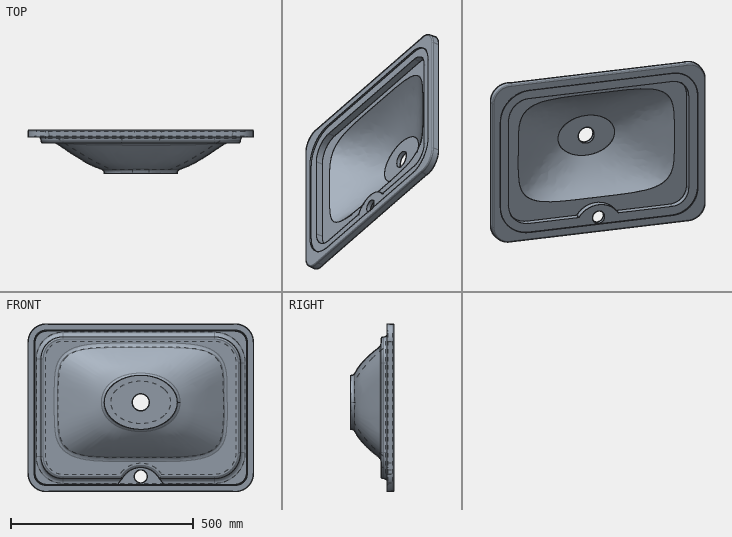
import cadquery as cq
import math

total_depth = 120.0
wall = 12.0
selection_margin = 1.0

rim_depth = 20.0
rim_width = 617.32
rim_height = 459.32
rim_draft = 0.8
corner_radius = 50.0
corner_bulge = 1.0
front_edge_radius = 3.0

recess_width = 584.0
recess_height = 425.0
recess_corner_radius = 33.0
recess_depth = 3.5
recess_wall_slope = 3.0
recess_floor = rim_depth - recess_depth

deck_depth = 36.0
deck_width = 546.0
deck_height = 388.0
deck_left_radius = 60.0
deck_right_radius = 71.0
deck_edge_radius = 6.0
cove_radius = 13.0

tap_z = -188.0
tap_hole_diameter = 35.0
scoop_radius = 57.0
scoop_z = -220.5
scoop_flare = math.radians(37)

bowl_z = 15.0
ellipse_exponent = 2.0
bowl_sections = [
    (deck_depth, 232.0, 154.5, 4.8),
    (62.0, 193.5, 134.0, 4.0),
    (91.0, 147.0, 105.0, 3.0),
    (112.0, 92.0, 70.0, ellipse_exponent),
]
section_points = 48
bowl_blend_radius = 16.0
foot_half_width = 100.0
foot_half_height = 74.0
foot_blend_radius = 11.0

tray_depth = recess_floor - wall
pocket_floor = deck_depth - wall
bowl_wall_depth = 16.0
drain_diameter = 46.0
floor_half_width = 82.0
floor_half_height = 58.0


def plane_at(depth):
    """Plane at the given depth whose local axes are X and Z, with its normal towards -Y."""
    return cq.Workplane("XZ", origin=(0, -depth, 0))


def rim_outline(depth, draft):
    """Closed rim wire: straight sides joined by corner arcs that overrun the top and bottom."""
    radius = corner_radius - draft
    center_x = rim_width / 2 - corner_radius
    center_z = rim_height / 2 - corner_radius
    flat_z = rim_height / 2 - corner_bulge
    side_x = center_x + radius
    end_x = center_x - math.sqrt(radius**2 - (flat_z - center_z) ** 2)
    middle_x = center_x + radius * math.cos(math.pi / 4)
    middle_z = center_z + radius * math.sin(math.pi / 4)
    return (
        plane_at(depth)
        .moveTo(side_x, -center_z)
        .lineTo(side_x, center_z)
        .threePointArc((middle_x, middle_z), (end_x, flat_z))
        .lineTo(-end_x, flat_z)
        .threePointArc((-middle_x, middle_z), (-side_x, center_z))
        .lineTo(-side_x, -center_z)
        .threePointArc((-middle_x, -middle_z), (-end_x, -flat_z))
        .lineTo(end_x, -flat_z)
        .threePointArc((middle_x, -middle_z), (side_x, -center_z))
        .close()
        .val()
    )


def make_rim():
    """Rim plate with its front edge rounded."""
    front = rim_outline(0, rim_draft)
    back = rim_outline(rim_depth, 0)
    rim = cq.Workplane(cq.Solid.makeLoft([front, back], True))
    return rim.faces(">Y").edges().fillet(front_edge_radius)


def make_recess():
    """Shallow recess in the back of the rim, with sloping walls."""
    slope_angle = math.degrees(math.atan2(recess_wall_slope, recess_depth))
    opening = cq.Sketch().rect(recess_width, recess_height).vertices().fillet(recess_corner_radius)
    return plane_at(rim_depth).placeSketch(opening).extrude(-recess_depth, taper=slope_angle)


def deck_sketch(inset):
    """Deck outline moved inwards by the inset."""
    outline = cq.Sketch().rect(deck_width - 2 * inset, deck_height - 2 * inset)
    outline = outline.vertices("<X").fillet(deck_left_radius - inset)
    return outline.reset().vertices(">X").fillet(deck_right_radius - inset).reset()


def edges_at(body, depth, half_width, half_height):
    """Edges of the body centred at one depth, within a window just over the given half sizes."""
    half_width += selection_margin
    half_height += selection_margin
    window = cq.selectors.BoxSelector(
        (-half_width, -depth - selection_margin, -half_height),
        (half_width, -depth + selection_margin, half_height),
    )
    return body.edges(window)


def scoop_outline(depth, offset):
    """Arch around the tap hole: an arc with straight flared ends, widened by the offset."""
    radius = scoop_radius + offset
    base_z = -deck_height / 2 - cove_radius
    end_x = radius * math.cos(scoop_flare)
    end_z = scoop_z + radius * math.sin(scoop_flare)
    base_x = end_x + (end_z - base_z) * math.tan(scoop_flare)
    return (
        plane_at(depth)
        .moveTo(-base_x, base_z)
        .lineTo(-end_x, end_z)
        .threePointArc((0, scoop_z + radius), (end_x, end_z))
        .lineTo(base_x, base_z)
        .close()
    )


def add_deck(body):
    """Raise the deck from the recess floor, with a cove at its foot and a scoop under the tap."""
    deck = plane_at(recess_floor).placeSketch(deck_sketch(0)).extrude(deck_depth - recess_floor)
    body = body.union(deck)
    half_width = deck_width / 2
    half_height = deck_height / 2
    body = edges_at(body, recess_floor, half_width, half_height).fillet(cove_radius)
    scoop = scoop_outline(recess_floor, 0).extrude(total_depth)
    body = body.cut(scoop)
    return body.faces("<Y").edges().fillet(deck_edge_radius)


def superellipse_wire(depth, half_width, half_height, exponent):
    """Closed smooth wire through evenly parametrised points of a superellipse."""

    def point(index):
        angle = 2 * math.pi * index / section_points
        cosine, sine = math.cos(angle), math.sin(angle)
        x = half_width * math.copysign(abs(cosine) ** (2 / exponent), cosine)
        z = half_height * math.copysign(abs(sine) ** (2 / exponent), sine)
        return (x, z)

    points = [point(index) for index in range(section_points)]
    return plane_at(depth).center(0, bowl_z).spline(points, periodic=True).wire().val()


def loft_sections(sections):
    """Smooth solid through the given superelliptic sections."""
    wires = [superellipse_wire(*section) for section in sections]
    return cq.Workplane(cq.Solid.makeLoft(wires))


def make_bowl():
    """Solid bowl with its foot, blended where the two meet."""
    bowl = loft_sections(bowl_sections)
    foot_start = bowl_sections[-2][0]
    foot = (
        plane_at(foot_start)
        .center(0, bowl_z)
        .ellipse(foot_half_width, foot_half_height)
        .extrude(total_depth - foot_start)
    )
    body = bowl.union(foot)
    foot_end = -total_depth + selection_margin
    foot_edge = max(
        (edge for edge in body.edges().vals() if foot_end < edge.Center().y < -foot_start),
        key=lambda edge: edge.Length(),
    )
    return body.newObject([foot_edge]).fillet(foot_blend_radius)


def add_bowl(body):
    """Join the bowl to the deck with a blend around its opening."""
    body = body.union(make_bowl())
    _, half_width, half_height, _ = bowl_sections[0]
    return edges_at(body, deck_depth, half_width, half_height + bowl_z).fillet(bowl_blend_radius)


def make_cavity():
    """Space inside the sink: the tray, the pocket over the deck less the tap ledge, and the bowl."""
    tray = plane_at(0).placeSketch(deck_sketch(-cove_radius)).extrude(tray_depth)
    pocket = plane_at(0).placeSketch(deck_sketch(wall)).extrude(pocket_floor)
    ledge = scoop_outline(0, wall).extrude(pocket_floor)
    sections = [
        (depth - bowl_wall_depth, half_width, half_height, exponent)
        for depth, half_width, half_height, exponent in bowl_sections[:-1]
    ]
    sections.append((total_depth - wall, floor_half_width, floor_half_height, ellipse_exponent))
    return pocket.cut(ledge).union(tray).union(loft_sections(sections))


def make_hole(z, diameter):
    """Round cutter on the middle plane, running the full depth."""
    return plane_at(0).center(0, z).circle(diameter / 2).extrude(total_depth)


result = add_deck(make_rim().cut(make_recess()))
result = add_bowl(result)
result = result.cut(make_cavity())
result = result.cut(make_hole(bowl_z, drain_diameter)).cut(make_hole(tap_z, tap_hole_diameter))